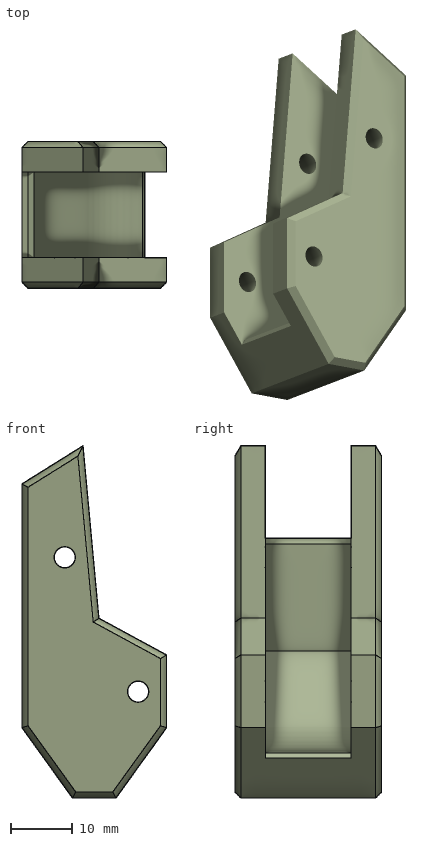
import cadquery as cq
import math

length = 23.65
width = 24.0
height = 57.6

bottom_flat = 7.1
lower_corner_height = 11.5
back_top_height = 51.35
apex_x = 10.0
notch_x = 12.6
notch_height = 29.4
front_top_height = 23.4

chamfer = 1.0
hole_diameter = 3.4
upper_hole = (7.0, 39.35)
lower_hole = (19.0, 17.4)

channel_width = 14.0
back_wall = 2.0
back_wall_height = 42.5
floor_height = 7.4
ramp_top_height = 24.0
ramp_fillet = 10.0

bottom_back_x = (length - bottom_flat) / 2
bottom_front_x = length - bottom_back_x
slope_angle = math.atan2(lower_corner_height, bottom_back_x)


def side_outline():
    """Closed outline of a side plate in the XZ plane."""
    points = [
        (0, lower_corner_height),
        (0, back_top_height),
        (apex_x, height),
        (notch_x, notch_height),
        (length, front_top_height),
        (length, lower_corner_height),
        (bottom_front_x, 0),
        (bottom_back_x, 0),
    ]
    return cq.Workplane("XZ").polyline(points).close()


def make_body():
    """Solid block with every edge of its two outer sides chamfered."""
    block = side_outline().extrude(width / 2, both=True)
    return block.faces("<Y or >Y").chamfer(chamfer)


def make_channel():
    """Space cleared between the plates: over the back wall, down the ramp and out along the floor."""
    ramp_foot_x = back_wall + (ramp_top_height - floor_height) / math.tan(slope_angle)
    tangent_length = ramp_fillet * math.tan(slope_angle / 2)
    fillet_end_x = ramp_foot_x + tangent_length
    fillet_start = (
        ramp_foot_x - tangent_length * math.cos(slope_angle),
        floor_height + tangent_length * math.sin(slope_angle),
    )
    fillet_middle = (
        fillet_end_x - ramp_fillet * math.sin(slope_angle / 2),
        floor_height + ramp_fillet * (1 - math.cos(slope_angle / 2)),
    )

    lip_x = bottom_front_x + floor_height / math.tan(slope_angle)
    lip_bottom = (
        lip_x - chamfer * math.cos(slope_angle),
        floor_height - chamfer * math.sin(slope_angle),
    )

    profile = (
        cq.Workplane("XZ")
        .moveTo(0, height)
        .lineTo(0, back_wall_height)
        .lineTo(back_wall - chamfer, back_wall_height)
        .lineTo(back_wall, back_wall_height - chamfer)
        .lineTo(back_wall, ramp_top_height)
        .lineTo(*fillet_start)
        .threePointArc(fillet_middle, (fillet_end_x, floor_height))
        .lineTo(lip_x - chamfer, floor_height)
        .lineTo(*lip_bottom)
        .lineTo(length, lip_bottom[1])
        .lineTo(length, height)
        .close()
    )
    return profile.extrude(channel_width / 2, both=True)


def make_cross_holes():
    """Pin holes running through both side plates."""
    holes = cq.Workplane("XZ").pushPoints([upper_hole, lower_hole])
    return holes.circle(hole_diameter / 2).extrude(width / 2, both=True)


result = make_body().cut(make_channel()).cut(make_cross_holes())